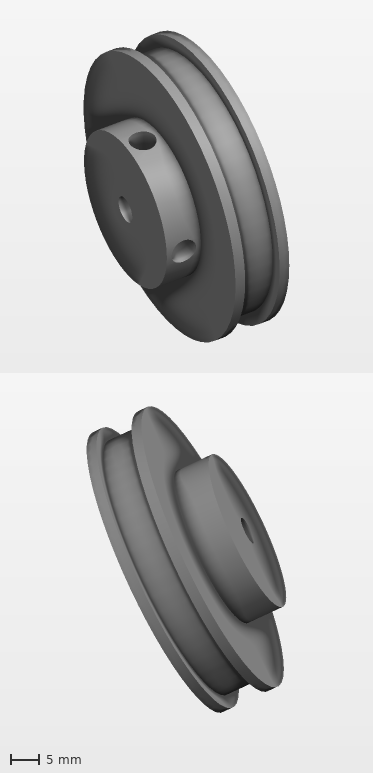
import cadquery as cq

flange_diameter = 55.0
groove_diameter = 50.0
hub_diameter = 30.0
bore_diameter = 5.0
screw_hole_diameter = 5.0
flange_thickness = 2.0
groove_width = 7.05
hub_length = 7.0

hub_flange_start = hub_length
groove_start = hub_flange_start + flange_thickness
back_flange_start = groove_start + groove_width
total_length = back_flange_start + flange_thickness


def disc(diameter, start, length):
    """Cylinder about the Y axis, from start toward +Y."""
    plane = cq.Workplane("XZ", origin=(0, start, 0))
    return plane.circle(diameter / 2).extrude(-length)


def screw_hole(direction):
    """Radial hole from the pulley axis out through the hub, halfway along it."""
    start = cq.Vector(0, hub_length / 2, 0)
    return cq.Workplane(
        cq.Solid.makeCylinder(screw_hole_diameter / 2, hub_diameter, start, direction)
    )


body = disc(hub_diameter, 0, hub_length)
body = body.union(disc(flange_diameter, hub_flange_start, flange_thickness))
body = body.union(disc(groove_diameter, groove_start, groove_width))
body = body.union(disc(flange_diameter, back_flange_start, flange_thickness))

body = body.cut(disc(bore_diameter, 0, total_length))

for direction in (cq.Vector(0, 0, 1), cq.Vector(1, 0, 0)):
    body = body.cut(screw_hole(direction))

result = body